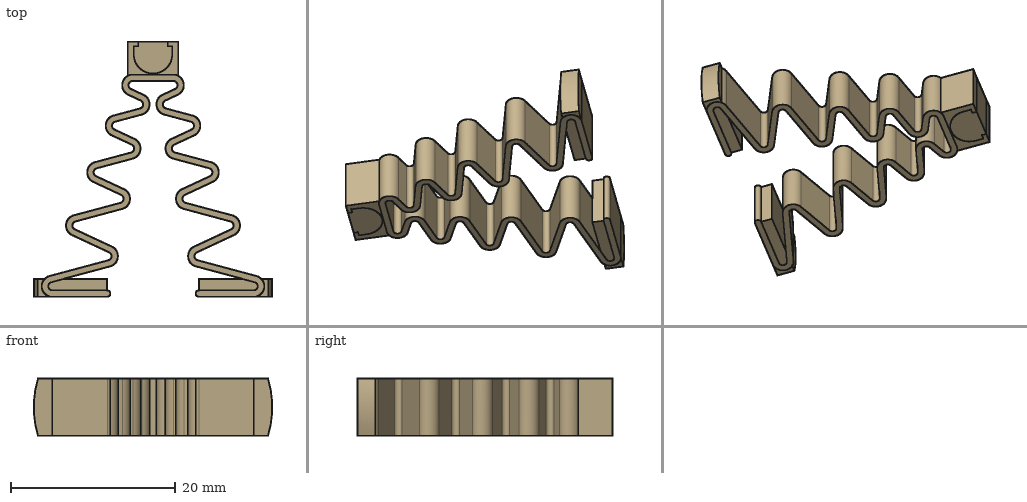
import cadquery as cq
import math

height = 7.0
total_depth = 31.12
half_span = 14.55

strip_thickness = 0.8
bend_radius = 0.9
inward_slope = 25.0
outward_slope = 15.0
top_run = 2.47
inward_runs = [1.68, 2.68, 3.75, 4.98]
outward_runs = [3.35, 4.54, 5.89]
foot_y = strip_thickness / 2
top_run_y = 26.7

pad_length = 8.96
pad_depth = 2.2
pad_bulge = 0.52
pad_inner_x = half_span - pad_length

window_width = 0.8
window_height = 4.0

housing_width = 6.2
housing_depth = 4.3
insert_width = 4.7
insert_neck_width = 3.6
insert_neck_depth = 0.55
insert_straight = 1.0


class Trail:
    """A 2D path that grows by straight runs and tangent bends."""

    def __init__(self, x, y, heading):
        self.x = x
        self.y = y
        self.heading = heading
        self.path = cq.Workplane("XY").moveTo(x, y)

    def run(self, length):
        self.x += length * math.cos(math.radians(self.heading))
        self.y += length * math.sin(math.radians(self.heading))
        self.path = self.path.lineTo(self.x, self.y)

    def bend(self, turn):
        """Turn by the given angle in degrees, positive to the left."""
        side = math.copysign(90.0, turn)
        to_center = math.radians(self.heading + side)
        center_x = self.x + bend_radius * math.cos(to_center)
        center_y = self.y + bend_radius * math.sin(to_center)

        def point_after(angle):
            direction = math.radians(self.heading - side + angle)
            return (
                center_x + bend_radius * math.cos(direction),
                center_y + bend_radius * math.sin(direction),
            )

        middle = point_after(turn / 2)
        self.x, self.y = point_after(turn)
        self.heading += turn
        self.path = self.path.threePointArc(middle, (self.x, self.y))


def make_half_spring():
    """Left half of the ribbon, from the middle plane to the round end of its foot."""
    zigzag_turn = 180 - inward_slope - outward_slope
    trail = Trail(0, top_run_y, 180)
    trail.run(top_run)
    trail.bend(180 - inward_slope)
    for inward, outward in zip(inward_runs[:-1], outward_runs):
        trail.run(inward)
        trail.bend(-zigzag_turn)
        trail.run(outward)
        trail.bend(zigzag_turn)
    trail.run(inward_runs[-1])
    trail.bend(-zigzag_turn)
    slope = math.radians(outward_slope)
    last_bend_drop = bend_radius * (1 + math.cos(slope))
    trail.run((trail.y - foot_y - last_bend_drop) / math.sin(slope))
    trail.bend(180 - outward_slope)
    last_bend = (trail.x, trail.y + bend_radius)
    trail.run(-pad_inner_x - trail.x)
    ribbon = trail.path.offset2D(strip_thickness / 2, "arc").extrude(height)
    window_length = bend_radius + strip_thickness
    window = (
        cq.Workplane("XY")
        .box(window_length, window_width, window_height)
        .translate((last_bend[0] - window_length / 2, last_bend[1], height / 2))
    )
    return ribbon.cut(window)


def make_spring():
    left_half = make_half_spring()
    return left_half.union(left_half.mirror("YZ"))


def make_pad(side):
    """Pad moulded around a foot of the spring; side is -1 for the left one, 1 for the right one."""
    inner_x = side * pad_inner_x
    corner_x = side * (half_span - pad_bulge)
    tip = (side * half_span, height / 2)
    return (
        cq.Workplane("XZ")
        .moveTo(inner_x, 0)
        .lineTo(corner_x, 0)
        .threePointArc(tip, (corner_x, height))
        .lineTo(inner_x, height)
        .close()
        .extrude(-pad_depth)
        .cut(spring)
    )


def make_insert():
    """Round-nosed insert with a narrower neck that opens at the back of the housing."""
    half_width = insert_width / 2
    half_neck = insert_neck_width / 2
    shoulder_y = total_depth - insert_neck_depth
    nose_y = shoulder_y - insert_straight
    return (
        cq.Workplane("XY")
        .moveTo(-half_neck, total_depth)
        .lineTo(-half_neck, shoulder_y)
        .lineTo(-half_width, shoulder_y)
        .lineTo(-half_width, nose_y)
        .threePointArc((0, nose_y - half_width), (half_width, nose_y))
        .lineTo(half_width, shoulder_y)
        .lineTo(half_neck, shoulder_y)
        .lineTo(half_neck, total_depth)
        .close()
        .extrude(height)
    )


def make_housing():
    """Block with a slot for the insert and a shallow groove seating the spring."""
    front_y = total_depth - housing_depth
    block = (
        cq.Workplane("XY")
        .box(housing_width, housing_depth, height, centered=(True, False, False))
        .translate((0, front_y, 0))
    )
    return block.cut(insert).cut(spring)


spring = make_spring()
insert = make_insert()
housing = make_housing()
pads = [make_pad(side) for side in (-1, 1)]

result = cq.Compound.makeCompound(
    [housing.val(), insert.val(), spring.val(), *[pad.val() for pad in pads]]
)